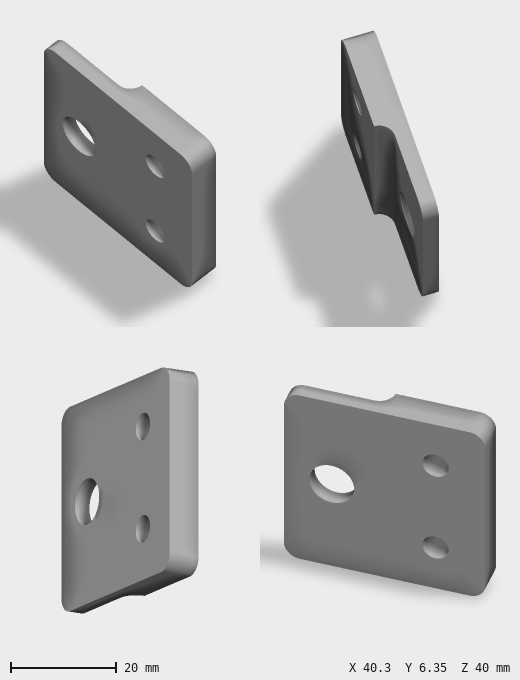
import cadquery as cq

length = 40.3
height = 40.0
thick = 6.35
thin = thick / 2
corner_radius = 3.2

step_x = 20.15
step_radius = thick - thin

large_hole_diameter = 9.0
large_hole_x = 9.55
small_hole_diameter = 5.3
small_hole_x = 30.35
small_hole_spacing = 20.0


def stepped_plate():
    """Thin and thick halves with a flat face on Y = 0, centred on Z = 0."""
    arc_start_x = step_x - step_radius
    arc_middle = (
        cq.Vector(arc_start_x, thick)
        + cq.Vector(1, -1).normalized() * step_radius
    )
    return (
        cq.Workplane("XY")
        .lineTo(length, 0)
        .lineTo(length, thick)
        .lineTo(step_x, thick)
        .threePointArc((arc_middle.x, arc_middle.y), (arc_start_x, thin))
        .lineTo(0, thin)
        .close()
        .extrude(height / 2, both=True)
    )


def through_holes(diameter, centers):
    """Cylinders along Y that span the full thickness."""
    return (
        cq.Workplane("XZ")
        .pushPoints(centers)
        .circle(diameter / 2)
        .extrude(-thick)
    )


plate = stepped_plate().edges("|Y and (<X or >X)").fillet(corner_radius)

large_hole = through_holes(large_hole_diameter, [(large_hole_x, 0)])
small_holes = through_holes(
    small_hole_diameter,
    [(small_hole_x, side * small_hole_spacing / 2) for side in (-1, 1)],
)
result = plate.cut(large_hole).cut(small_holes)